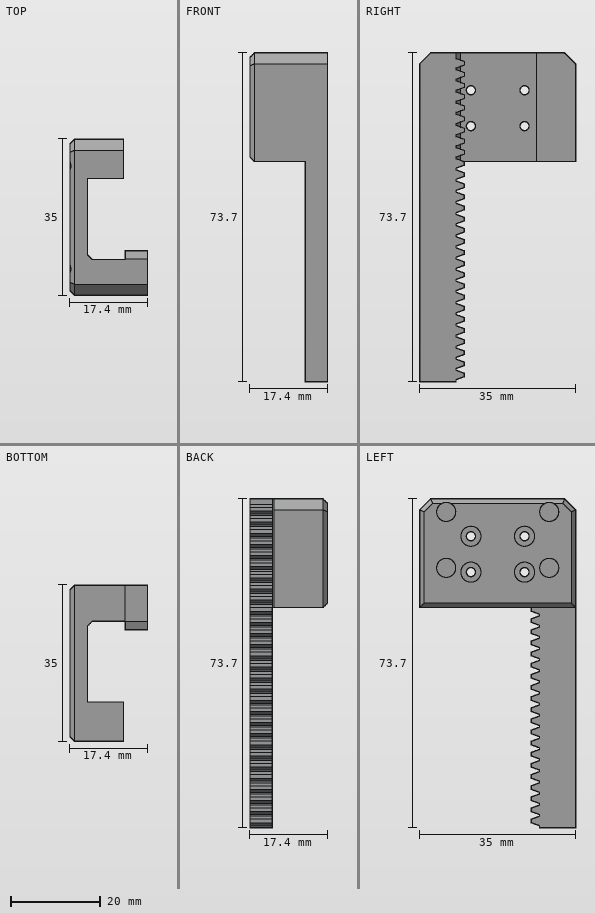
import cadquery as cq
import math

total_height = 73.65
total_depth = 17.4
total_width = 35.0

head_height = 24.4
plate_thickness = 4.0
left_arm_length = 12.0
left_arm_thickness = 8.85
right_arm_thickness = 8.1
inner_corner_chamfer = 1.0
top_corner_chamfer = 2.5
face_chamfer = 1.0

rack_depth = 5.0
rack_width = 10.0
tooth_height = 1.85
tooth_tip_width = 0.8
pressure_angle = 20
tooth_count = 29
lowest_tooth_z = 1.55
highest_tooth_z = 71.3

screw_spacing_y = 12.0
screw_spacing_z = 8.0
screw_top_distance = 8.4
screw_hole_diameter = 2.0
counterbore_diameter = 4.5
counterbore_depth = 1.85

pocket_spacing_y = 23.05
pocket_spacing_z = 12.5
pocket_top_distance = 2.95
pocket_diameter = 4.3
pocket_depth = 3.0

half_width = total_width / 2
head_bottom = total_height - head_height
rack_front = total_depth - rack_depth
tooth_pitch = (highest_tooth_z - lowest_tooth_z) / (tooth_count - 1)


def make_head():
    """Plate and arms, with the two top corners and the front face rim chamfered."""
    left_arm_inner_y = half_width - left_arm_thickness
    right_arm_inner_y = right_arm_thickness - half_width
    body = (
        cq.Workplane("XY", origin=(0, 0, head_bottom))
        .moveTo(0, -half_width)
        .lineTo(total_depth, -half_width)
        .lineTo(total_depth, right_arm_inner_y)
        .lineTo(plate_thickness + inner_corner_chamfer, right_arm_inner_y)
        .lineTo(plate_thickness, right_arm_inner_y + inner_corner_chamfer)
        .lineTo(plate_thickness, left_arm_inner_y)
        .lineTo(left_arm_length, left_arm_inner_y)
        .lineTo(left_arm_length, half_width)
        .lineTo(0, half_width)
        .close()
        .extrude(head_height)
    )
    body = body.faces(">Z").edges(">Y or <Y").chamfer(top_corner_chamfer)
    return body.faces("<X").edges().chamfer(face_chamfer)


def make_rack():
    """Full-height bar with straight-flanked teeth along its +Y side."""
    tip_y = rack_width - half_width
    root_y = tip_y - tooth_height
    half_tip = tooth_tip_width / 2
    half_base = half_tip + tooth_height * math.tan(math.radians(pressure_angle))

    outline = [(-half_width, 0), (root_y, 0)]
    for index in range(tooth_count):
        middle = lowest_tooth_z + index * tooth_pitch
        outline.append((root_y, middle - half_base))
        outline.append((tip_y, middle - half_tip))
        outline.append((tip_y, middle + half_tip))
        outline.append((root_y, middle + half_base))
    outline.append((root_y, total_height))
    outline.append((top_corner_chamfer - half_width, total_height))
    outline.append((-half_width, total_height - top_corner_chamfer))
    return cq.Workplane("YZ", origin=(rack_front, 0, 0)).polyline(outline).close().extrude(rack_depth)


def hole_pattern(spacing_y, spacing_z, top_distance, diameter, depth):
    """Four round cutters going into the plate from its front face."""
    upper_z = total_height - top_distance
    centers = [(y, z) for y in (-spacing_y / 2, spacing_y / 2) for z in (upper_z, upper_z - spacing_z)]
    return cq.Workplane("YZ").pushPoints(centers).circle(diameter / 2).extrude(depth)


screw_holes = hole_pattern(
    screw_spacing_y, screw_spacing_z, screw_top_distance, screw_hole_diameter, plate_thickness
)
counterbores = hole_pattern(
    screw_spacing_y, screw_spacing_z, screw_top_distance, counterbore_diameter, counterbore_depth
)
pockets = hole_pattern(
    pocket_spacing_y, pocket_spacing_z, pocket_top_distance, pocket_diameter, pocket_depth
)

result = make_head().union(make_rack()).cut(screw_holes).cut(counterbores).cut(pockets)